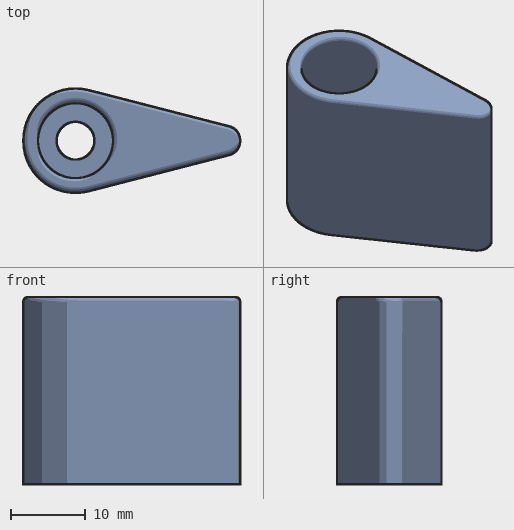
import cadquery as cq
import math

total_length = 28.97
height = 25.0
large_radius = 6.98
small_radius = 2.0
bore_diameter = 10.0
hole_diameter = 5.0
floor_thickness = 5.0
edge_radius = 0.7

centre_distance = total_length - large_radius - small_radius
flank_angle = math.asin((large_radius - small_radius) / centre_distance)


def tangent_point(centre_x, radius):
    """Point where the +Y flank touches an end arc."""
    return (
        centre_x + radius * math.sin(flank_angle),
        radius * math.cos(flank_angle),
    )


def teardrop_body():
    large_x, large_y = tangent_point(0, large_radius)
    small_x, small_y = tangent_point(centre_distance, small_radius)
    body = (
        cq.Workplane("XY")
        .moveTo(large_x, large_y)
        .threePointArc((-large_radius, 0), (large_x, -large_y))
        .lineTo(small_x, -small_y)
        .threePointArc((centre_distance + small_radius, 0), (small_x, small_y))
        .close()
        .extrude(height)
    )
    return body.faces(">Z").edges().fillet(edge_radius)


def bore_cutter():
    """Deep bore from the top with a flared, rounded mouth."""
    bore_radius = bore_diameter / 2
    mouth_radius = bore_radius + edge_radius
    arc_offset = edge_radius * math.sqrt(0.5)
    arc_middle = (mouth_radius - arc_offset, height - edge_radius + arc_offset)
    return (
        cq.Workplane("XZ")
        .moveTo(0, floor_thickness)
        .lineTo(bore_radius, floor_thickness)
        .lineTo(bore_radius, height - edge_radius)
        .threePointArc(arc_middle, (mouth_radius, height))
        .lineTo(0, height)
        .close()
        .revolve(360, (0, 0, 0), (0, 1, 0))
    )


def through_hole():
    return cq.Workplane("XY").circle(hole_diameter / 2).extrude(height)


result = teardrop_body().cut(bore_cutter()).cut(through_hole())